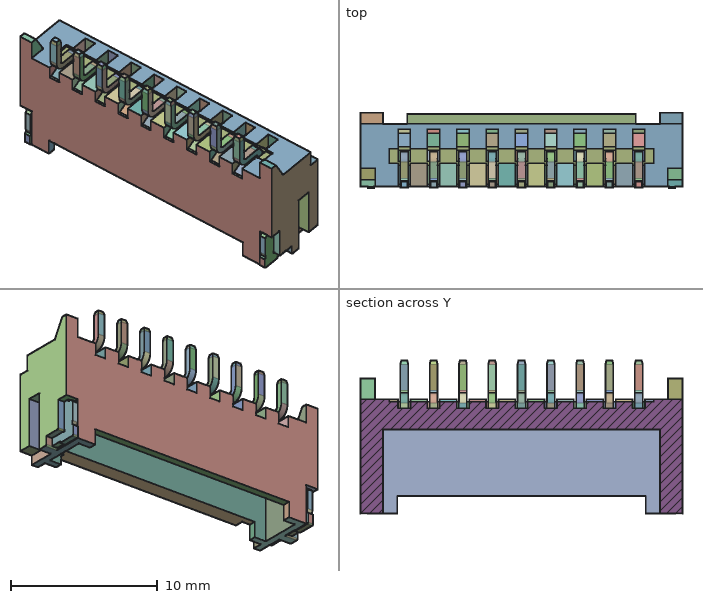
import cadquery as cq


length = 22.0
depth = 5.05
top_z = 7.8
shoulder_z = 6.65
main_rear_y = 4.3
rear_corner_width = 1.56
rear_rail_length = 15.62
rear_rail_y = 4.97
mouth_length = 16.95
mouth_z = 1.19

ear_width = 1.01
ear_top_z = 9.22
ear_top_depth = 0.46
ear_foot_depth = 1.28

front_wall = 0.6
rear_wall = 0.55
cavity_length = length - 2 * rear_corner_width
cavity_ceiling_z = 5.72

latch_depth = 1.01
latch_front_y = 2.97
latch_rear_y = 4.05
latch_top_z = 4.35
latch_corner_z = 0.73

contact_count = 9
pitch = length / 11
slot_width = 0.84
slot_rear_y = 3.92
slot_front_z = 6.93
slot_rear_z = 6.7
plateau_z = 7.63
well_front_y = 1.74
well_rear_y = 2.49
well_floor_z = 7.2
groove_length = 18.05
groove_front_y = 1.58
groove_rear_y = 2.6
contact_width = 0.55
contact_thickness = 0.48
contact_front_y = -0.09
contact_rear_y = 2.4
contact_top_z = 10.45
contact_root_z = 6.38
run_bottom_z = 7.75
bend_inner_radius = 0.2
hump_outer_radius = bend_inner_radius + contact_thickness
heel_outer_radius = 0.84
tip_height = 0.26
tip_inset = 0.07

pocket_width = ear_width
pocket_top_z = 3.0
pocket_depth = 0.88
pocket_foot_depth = 2.2
pocket_foot_z = 0.73
pocket_corner_radius = 0.1
nail_outset_x = 0.5
nail_width = 0.45
nail_shank_y = -0.05
nail_foot_y = -0.1
nail_neck_y = 0.02
nail_shoulder_z = 2.85
nail_shoulder_depth = 0.42
nail_chamfer = 0.2
nail_foot_round = 0.1
nail_heel_start_y = 1.32
nail_heel_z = 0.1


def box(x0, x1, y0, y1, z0, z1):
    return cq.Workplane("XY").box(x1 - x0, y1 - y0, z1 - z0, centered=False).translate((x0, y0, z0))


def centered_box(size_x, y0, y1, z0, z1):
    return box(-size_x / 2, size_x / 2, y0, y1, z0, z1)


def side_profile(x_start):
    """Sketch plane with local axes Y and Z, extruding towards +X."""
    return cq.Workplane("YZ", origin=(x_start, 0, 0))


def both_ends(left_shape):
    return left_shape.union(left_shape.mirror("YZ"))


left_end = -length / 2


def make_ear():
    return (
        side_profile(left_end)
        .moveTo(0, shoulder_z)
        .lineTo(0, ear_top_z)
        .lineTo(ear_top_depth, ear_top_z)
        .lineTo(ear_foot_depth, top_z)
        .lineTo(ear_foot_depth, shoulder_z)
        .close()
        .extrude(ear_width)
    )


def make_shell():
    shell = centered_box(length, 0, main_rear_y, 0, top_z)
    corner = box(left_end, left_end + rear_corner_width, main_rear_y, depth, 0, shoulder_z)
    shell = shell.union(both_ends(corner.union(make_ear())))
    shell = shell.union(centered_box(rear_rail_length, main_rear_y, rear_rail_y, 0, shoulder_z))
    shell = shell.cut(centered_box(mouth_length, 0, depth, 0, mouth_z))
    cavity_rear_y = main_rear_y - rear_wall
    return shell.cut(centered_box(cavity_length, front_wall, cavity_rear_y, 0, cavity_ceiling_z))


def make_latch_slot():
    slot_end = left_end + latch_depth
    slot = box(left_end, slot_end, latch_front_y, latch_rear_y, 0, latch_top_z)
    return slot.union(box(left_end, slot_end, latch_rear_y, depth, 0, latch_corner_z))


def make_contact_slot(x):
    """Slot whose floor rises from the front to a plateau, then falls to the rear."""
    ramp_start_y = 0.18
    ramp_end_y = 1.47
    fall_start_y = 2.73
    fall_end_y = 3.65
    slot = (
        side_profile(x - slot_width / 2)
        .moveTo(0, top_z)
        .lineTo(0, slot_front_z)
        .lineTo(ramp_start_y, slot_front_z)
        .lineTo(ramp_end_y, plateau_z)
        .lineTo(fall_start_y, plateau_z)
        .lineTo(fall_end_y, slot_rear_z)
        .lineTo(slot_rear_y, slot_rear_z)
        .lineTo(slot_rear_y, top_z)
        .close()
        .extrude(slot_width)
    )
    half_width = slot_width / 2
    well = box(x - half_width, x + half_width, well_front_y, well_rear_y, well_floor_z, plateau_z)
    return slot.union(well)


def make_contact(x):
    """Flat strip rising from the housing, bent forward, then bent upward, with a tapered tip."""
    upright_rear_y = contact_front_y + contact_thickness
    root_front_y = contact_rear_y - contact_thickness
    run_top_z = run_bottom_z + contact_thickness
    tip_base_z = contact_top_z - tip_height
    strip = (
        side_profile(x - contact_width / 2)
        .moveTo(contact_rear_y, contact_root_z)
        .lineTo(contact_rear_y, run_top_z - hump_outer_radius)
        .radiusArc((contact_rear_y - hump_outer_radius, run_top_z), -hump_outer_radius)
        .lineTo(upright_rear_y + bend_inner_radius, run_top_z)
        .radiusArc((upright_rear_y, run_top_z + bend_inner_radius), bend_inner_radius)
        .lineTo(upright_rear_y, tip_base_z)
        .lineTo(contact_front_y, tip_base_z)
        .lineTo(contact_front_y, run_bottom_z + heel_outer_radius)
        .radiusArc((contact_front_y + heel_outer_radius, run_bottom_z), -heel_outer_radius)
        .lineTo(root_front_y - bend_inner_radius, run_bottom_z)
        .radiusArc((root_front_y, run_bottom_z - bend_inner_radius), bend_inner_radius)
        .lineTo(root_front_y, contact_root_z)
        .close()
        .extrude(contact_width)
    )
    tip = (
        cq.Workplane("XY", origin=(x, contact_front_y + contact_thickness / 2, tip_base_z))
        .rect(contact_width, contact_thickness)
        .workplane(offset=tip_height)
        .rect(contact_width - 2 * tip_inset, contact_thickness - 2 * tip_inset)
        .loft()
    )
    return strip.union(tip)


def make_nail_pocket():
    """L-shaped pocket whose two outward corners are rounded."""
    radius = pocket_corner_radius
    return (
        side_profile(left_end)
        .moveTo(0, 0)
        .lineTo(0, pocket_top_z)
        .lineTo(pocket_depth, pocket_top_z)
        .lineTo(pocket_depth, pocket_foot_z + radius)
        .radiusArc((pocket_depth + radius, pocket_foot_z), -radius)
        .lineTo(pocket_foot_depth, pocket_foot_z)
        .lineTo(pocket_foot_depth, radius)
        .radiusArc((pocket_foot_depth + radius, 0), -radius)
        .close()
        .extrude(pocket_width)
    )


def make_nail():
    """Flat L-shaped nail with a chamfered top, a narrow neck and a protruding foot."""
    neck_top_z = 1.19
    neck_bottom_z = 0.92
    foot_top_z = 0.81
    return (
        side_profile(left_end + nail_outset_x)
        .moveTo(nail_foot_y + nail_foot_round, 0)
        .radiusArc((nail_foot_y, nail_foot_round), nail_foot_round)
        .lineTo(nail_foot_y, foot_top_z)
        .lineTo(nail_neck_y, neck_bottom_z)
        .lineTo(nail_shank_y, neck_top_z)
        .lineTo(nail_shank_y, nail_shoulder_z - nail_chamfer)
        .lineTo(nail_shank_y + nail_chamfer, nail_shoulder_z)
        .lineTo(nail_shoulder_depth, nail_shoulder_z)
        .lineTo(nail_shoulder_depth, pocket_top_z)
        .lineTo(pocket_depth, pocket_top_z)
        .lineTo(pocket_depth, pocket_foot_z)
        .lineTo(pocket_foot_depth, pocket_foot_z)
        .lineTo(pocket_foot_depth, nail_heel_z)
        .lineTo(nail_heel_start_y, nail_heel_z)
        .lineTo(nail_heel_start_y, 0)
        .close()
        .extrude(nail_width)
    )


contact_positions = [(i - (contact_count - 1) / 2) * pitch for i in range(contact_count)]

housing = make_shell()
housing = housing.cut(both_ends(make_latch_slot().union(make_nail_pocket())))
housing = housing.cut(centered_box(groove_length, groove_front_y, groove_rear_y, plateau_z, top_z))
for position in contact_positions:
    housing = housing.cut(make_contact_slot(position))

result = housing.union(both_ends(make_nail()))
for position in contact_positions:
    result = result.union(make_contact(position))